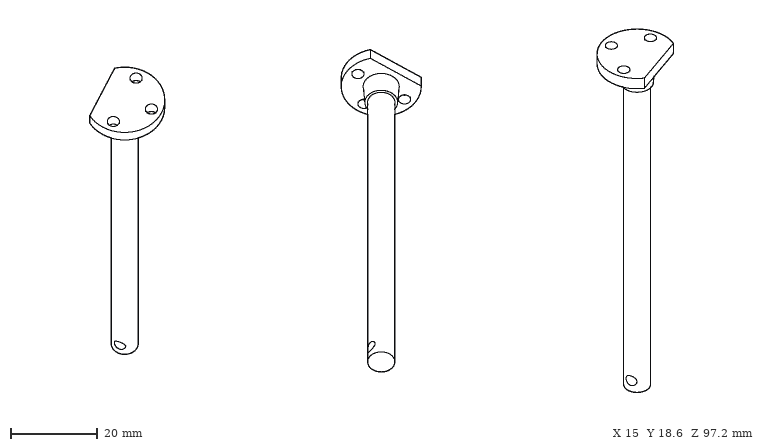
import cadquery as cq

total_height = 97.2
flange_diameter = 18.6
flange_width = 15.0
flange_thickness = 3.0

shaft_diameter = 6.3
collar_height = 5.3
collar_top_diameter = 8.4
collar_bottom_diameter = 7.6

hole_diameter = 2.8
bolt_circle_radius = 6.7
cross_hole_height = 3.2

flange_bottom = total_height - flange_thickness
collar_bottom = flange_bottom - collar_height
flange_radius = flange_diameter / 2


def make_flange():
    """Disc with one flat on the -X side and three through holes around the axis."""
    disc = cq.Workplane("XY").workplane(offset=flange_bottom).circle(flange_radius).extrude(flange_thickness)
    flat_trim = (
        cq.Workplane("XY")
        .workplane(offset=flange_bottom)
        .center(flange_radius - flange_width / 2, 0)
        .rect(flange_width, flange_diameter)
        .extrude(flange_thickness)
    )
    holes = (
        cq.Workplane("XY")
        .workplane(offset=flange_bottom)
        .pushPoints([(0, bolt_circle_radius), (bolt_circle_radius, 0), (0, -bolt_circle_radius)])
        .circle(hole_diameter / 2)
        .extrude(flange_thickness)
    )
    return disc.intersect(flat_trim).cut(holes)


def make_collar():
    """Conical collar that narrows away from the flange."""
    return (
        cq.Workplane("XY")
        .workplane(offset=collar_bottom)
        .circle(collar_bottom_diameter / 2)
        .workplane(offset=collar_height)
        .circle(collar_top_diameter / 2)
        .loft(ruled=True)
    )


def make_shaft():
    """Round shaft with a cross hole along Y near its free end."""
    shaft = cq.Workplane("XY").circle(shaft_diameter / 2).extrude(flange_bottom)
    cross_hole = (
        cq.Workplane("XZ")
        .center(0, cross_hole_height)
        .circle(hole_diameter / 2)
        .extrude(shaft_diameter, both=True)
    )
    return shaft.cut(cross_hole)


result = make_flange().union(make_collar()).union(make_shaft())